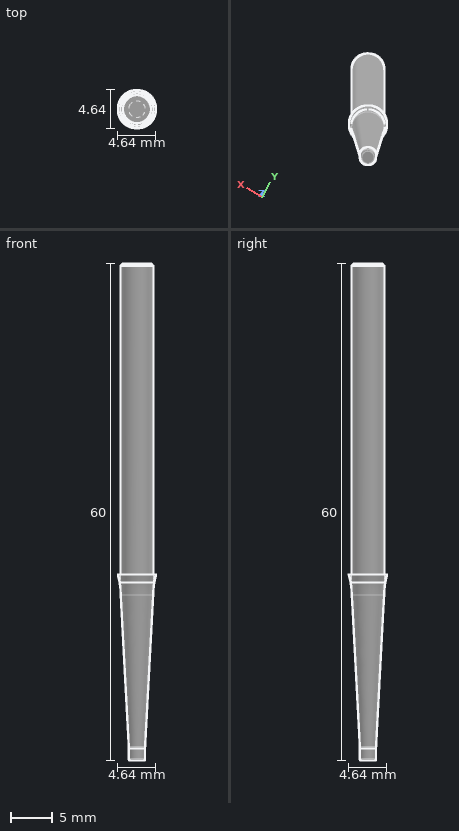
import cadquery as cq

tip_radius = 1.0
tip_length = 1.5
tip_corner_radius = 0.25

neck_straight_length = 0.2
neck_top_radius = 1.975
neck_top_height = 20.0

rim_radius = 2.32
rim_height = 22.5
funnel_depth = 1.0

shank_radius = 2.0
shank_chamfer = 0.3
total_length = 60.0

flare_height = rim_height - neck_top_height
flare_overhang = rim_radius - neck_top_radius
flare_arc_radius = (flare_height**2 + flare_overhang**2) / (2 * flare_overhang)


def build_tip():
    """Short round cutting tip with a rounded lower rim."""
    blank = cq.Workplane("XY").circle(tip_radius).extrude(tip_length)
    return blank.faces("<Z").edges().fillet(tip_corner_radius)


def build_holder():
    """Tapered neck, hollow flared collar and chamfered shank as one turned body."""
    half_profile = (
        cq.Workplane("XZ")
        .moveTo(0, tip_length)
        .lineTo(tip_radius, tip_length)
        .lineTo(tip_radius, tip_length + neck_straight_length)
        .lineTo(neck_top_radius, neck_top_height)
        .radiusArc((rim_radius, rim_height), flare_arc_radius)
        .lineTo(shank_radius, rim_height - funnel_depth)
        .lineTo(shank_radius, total_length - shank_chamfer)
        .lineTo(shank_radius - shank_chamfer, total_length)
        .lineTo(0, total_length)
        .close()
    )
    return half_profile.revolve(360, (0, 0, 0), (0, 1, 0))


tip = build_tip()
holder = build_holder()

result = cq.Compound.makeCompound([tip.val(), holder.val()])